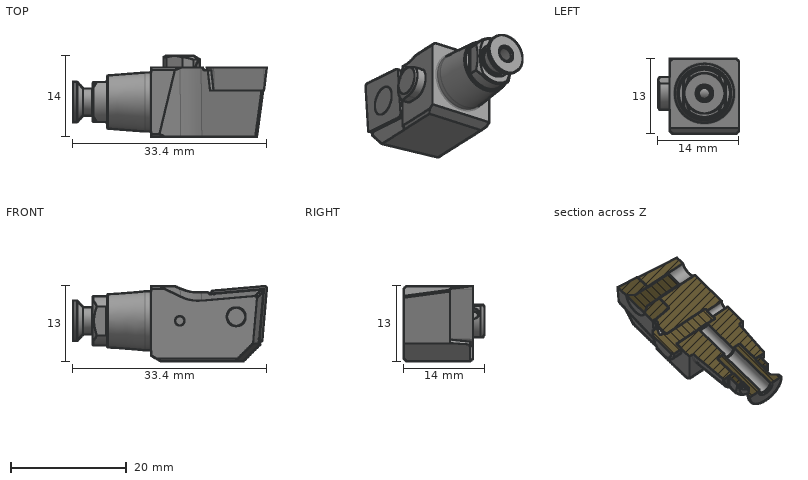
import cadquery as cq
import math


flange_radius = 3.5
flange_rim = 0.57
flange_blend = 0.17
neck_radius = 2.37
neck_start = 1.7
neck_end = 3.25
stem_radius = 2.47
stud_end = 10.02
stud_bore_radius = 1.2
stud_bore_chamfer = 0.3

nut_start = 3.3
nut_end = 5.8
nut_radius = 4.28
nut_edge = 0.2
flat_offset = 3.47
flat_runout_length = 0.15
flat_runout_rise = 0.25
countersink = 0.47
lead_in_radius = 7.35
lead_in_offset = 4.1
lead_in_slope = 1.2

shank_tip_radius = 4.4
shank_front_radius = 4.6
shank_front_chamfer = 0.2
taper_end = 12.4
shank_radius = 5.1
shank_root_fillet = 0.2
coolant_bore_radius = 0.97

block_start = 13.43
block_width = 12.0
block_height = 13.0
block_half_width = block_width / 2
block_top = block_half_width
block_bottom = block_top - block_height
block_end = 33.4
long_edge_chamfer = 0.5
heel_length = 1.67
heel_height = 1.0

half_nose_angle = math.radians(40)
side_angle = math.radians(45) - half_nose_angle
diagonal_share = math.sqrt(0.5)
relief_angle = math.radians(7)
insert_side = 9.7
insert_thickness = 3.97
nose_radius = 0.5
nose_radius_below = 0.05
half_long_diagonal = insert_side * math.cos(half_nose_angle)
half_short_diagonal = insert_side * math.sin(half_nose_angle)
sharp_tip_reach = nose_radius * (diagonal_share / math.sin(half_nose_angle) - 1)
insert_x = block_end + sharp_tip_reach - half_long_diagonal * diagonal_share
insert_z = block_top + sharp_tip_reach - half_long_diagonal * diagonal_share
seat_y = block_half_width - insert_thickness
seat_relief_width = 1.17

flush_gap = 0.1
relief_drop = block_width * math.tan(relief_angle)
ramp_angle = math.radians(26)
valley_start_x = 18.4
valley_end_x = 22.05
corner_bevel_x = 29.4
corner_bevel_shift = 1.5
tip_edge_bevel = 0.37
step_x = 22.35
step_depth = 0.55

pull_in = 0.1
screw_x = insert_x - pull_in
screw_z = insert_z - pull_in
screw_radius = 1.57
screw_hole_radius = 1.65
screw_head_radius = 2.5
screw_head_height = 1.35
screw_end_y = -2.67

nozzle_x = 18.37
nozzle_height = 2.0
nozzle_back_radius = 2.85
nozzle_front_radius = 3.5
nozzle_crown_radius = 2.37
nozzle_crown_angle = math.radians(31)
nozzle_corner = (0.47, nozzle_back_radius)
nozzle_flat_start_z = 1.75
nozzle_flat_end_x = 2.37
nozzle_stem_radius = 1.35
nozzle_stem_end_y = -2.67
outlet_radius = 1.0
outlet_angle = 22.0
outlet_depth = 1.67
vent_radius = 0.8

margin = 3.35


def turned(points):
    """Revolve an (x, radius) outline about the X axis."""
    return cq.Workplane("XY").polyline(points).close().revolve(360, (0, 0, 0), (1, 0, 0))


def axial_cylinder(radius, start, end):
    return cq.Workplane("YZ", origin=(start, 0, 0)).circle(radius).extrude(end - start)


def cross_cylinder(x, z, radius, y_low, y_high):
    """Cylinder parallel to Y."""
    return cq.Workplane("XZ", origin=(x, y_low, z)).circle(radius).extrude(y_low - y_high)


def leaning_prism(wire, shift_x, shift_z):
    """Sweep an outline from the +Y face to the -Y face while it shifts in X and Z."""
    sweep = cq.Vector(shift_x, -block_width, shift_z)
    return cq.Workplane(cq.Solid.extrudeLinear(wire, [], sweep))


def side_plane():
    """XZ sketch plane on the +Y face of the block."""
    return cq.Workplane("XZ", origin=(0, block_half_width, 0))



def make_pull_stud():
    stud = turned([
        (0, 0),
        (0, flange_radius),
        (flange_rim, flange_radius),
        (flange_rim + flange_blend, flange_radius - flange_blend / 2),
        (neck_start, neck_radius),
        (neck_end, neck_radius),
        (neck_end + stem_radius - neck_radius, stem_radius),
        (stud_end, stem_radius),
        (stud_end, 0),
    ])
    stud = stud.cut(axial_cylinder(stud_bore_radius, 0, stud_end))
    bore_mouth = turned([
        (0, 0),
        (0, stud_bore_radius + stud_bore_chamfer),
        (stud_bore_chamfer, stud_bore_radius),
        (stud_bore_chamfer, 0),
    ])
    return stud.cut(bore_mouth)



def make_lead_in(side):
    """Cone set off the axis, which rounds the front of the nut toward one flat."""
    length = nut_end - nut_start
    outer = lead_in_radius + length / lead_in_slope
    cone = turned([(nut_start, 0), (nut_start, lead_in_radius), (nut_end, outer), (nut_end, 0)])
    return cone.translate((0, -side * lead_in_offset, 0))


def make_flat_cutter(side):
    outline = [
        (nut_start, flat_offset),
        (nut_end - flat_runout_length, flat_offset),
        (nut_end, flat_offset + flat_runout_rise),
        (nut_end, nut_radius + margin),
        (nut_start, nut_radius + margin),
    ]
    points = [(x, side * y) for x, y in outline]
    return cq.Workplane("XY").polyline(points).close().extrude(nut_radius, both=True)


def make_lock_nut():
    nut = turned([
        (nut_start, stem_radius + countersink),
        (nut_start, nut_radius - nut_edge),
        (nut_start + nut_edge, nut_radius),
        (nut_end, nut_radius),
        (nut_end, stem_radius),
        (nut_start + countersink, stem_radius),
    ])
    for side in (-1, 1):
        nut = nut.intersect(make_lead_in(side))
        nut = nut.cut(make_flat_cutter(side))
    return nut



def rhombus_wire(y, inset, corner_radius):
    """Rounded rhombus around the insert centre, long diagonal toward +X +Z."""
    shrink = 1 - inset / (insert_side * math.sin(2 * half_nose_angle) / 2)
    long_reach = half_long_diagonal * shrink * diagonal_share
    short_reach = half_short_diagonal * shrink * diagonal_share
    corners = [
        (insert_x + long_reach, insert_z + long_reach),
        (insert_x - short_reach, insert_z + short_reach),
        (insert_x - long_reach, insert_z - long_reach),
        (insert_x + short_reach, insert_z - short_reach),
    ]
    wire = cq.Workplane("XZ", origin=(0, y, 0)).polyline(corners).close().val()
    return wire.fillet2D(corner_radius, wire.Vertices())


def make_insert_blank():
    inset = insert_thickness * math.tan(relief_angle)
    top = rhombus_wire(block_half_width, 0, nose_radius)
    bottom = rhombus_wire(seat_y, inset, nose_radius_below)
    return cq.Workplane(cq.Solid.makeLoft([top, bottom], True))


def make_insert_screw():
    head_start = block_half_width - screw_head_height
    shaft = cross_cylinder(screw_x, screw_z, screw_radius, screw_end_y, block_half_width)
    head = cq.Workplane(cq.Solid.makeCone(
        screw_radius, screw_head_radius, screw_head_height,
        cq.Vector(screw_x, head_start, screw_z), cq.Vector(0, 1, 0),
    ))
    return shaft.union(head)



def make_nozzle_stem():
    return cross_cylinder(nozzle_x, 0, nozzle_stem_radius, nozzle_stem_end_y, block_half_width)


def make_nozzle():
    flat_start_x = -math.sqrt(nozzle_back_radius**2 - nozzle_flat_start_z**2)
    flat_end_z = math.sqrt(nozzle_front_radius**2 - nozzle_flat_end_x**2)
    base_front_x = math.sqrt(nozzle_front_radius**2 - nozzle_back_radius**2)
    head = (
        cq.Workplane("XZ", origin=(nozzle_x, block_half_width, 0))
        .moveTo(0, -nozzle_back_radius)
        .threePointArc((-nozzle_back_radius, 0), (flat_start_x, nozzle_flat_start_z))
        .lineTo(*nozzle_corner)
        .lineTo(nozzle_flat_end_x, flat_end_z)
        .threePointArc((nozzle_front_radius, 0), (base_front_x, -nozzle_back_radius))
        .close()
        .extrude(-nozzle_height)
    )
    crown_drop = (nozzle_front_radius - nozzle_crown_radius) * math.tan(nozzle_crown_angle)
    crown = (
        cq.Workplane("XY", origin=(nozzle_x, block_half_width, 0))
        .polyline([
            (0, 0),
            (nozzle_front_radius, 0),
            (nozzle_front_radius, nozzle_height - crown_drop),
            (nozzle_crown_radius, nozzle_height),
            (0, nozzle_height),
        ])
        .close()
        .revolve(360, (0, 0, 0), (0, 1, 0))
    )
    outlet = (
        axial_cylinder(outlet_radius, nozzle_front_radius - outlet_depth, nozzle_front_radius + margin)
        .rotate((0, 0, 0), (0, 1, 0), -outlet_angle)
        .translate((nozzle_x, block_half_width, 0))
    )
    return head.intersect(crown).cut(outlet).union(make_nozzle_stem())



def make_shank():
    fillet_start = block_start - shank_root_fillet
    bend = shank_root_fillet * (1 - diagonal_share)
    return (
        cq.Workplane("XY")
        .moveTo(nut_end, 0)
        .lineTo(nut_end, shank_tip_radius)
        .lineTo(nut_end + shank_front_chamfer, shank_front_radius)
        .lineTo(taper_end, shank_radius)
        .lineTo(fillet_start, shank_radius)
        .threePointArc(
            (block_start - bend, shank_radius + bend),
            (block_start, shank_radius + shank_root_fillet),
        )
        .lineTo(block_start, 0)
        .close()
        .revolve(360, (0, 0, 0), (1, 0, 0))
    )


def make_block_blank():
    length = block_end - block_start
    blank = (
        cq.Workplane("XY", origin=(block_start, 0, block_bottom))
        .box(length, block_width, block_top - block_bottom, centered=(False, True, False))
        .edges("|X")
        .chamfer(long_edge_chamfer)
    )
    heel = (
        side_plane()
        .polyline([
            (block_start, block_bottom),
            (block_start, block_bottom + heel_height),
            (block_start + heel_length, block_bottom),
        ])
        .close()
        .extrude(block_width)
    )
    return blank.cut(heel)


insert_tip_x = insert_x + half_long_diagonal * diagonal_share
insert_tip_z = insert_z + half_long_diagonal * diagonal_share
set_back = flush_gap / (math.cos(side_angle) - math.sin(side_angle))
tip_x = insert_tip_x - set_back
tip_z = insert_tip_z - set_back


def top_plane_z(x):
    return tip_z - (tip_x - x) * math.tan(side_angle)


def make_top_relief():
    """Ramp, hollow and rake plane above the block, leaning down toward -Y."""
    turn = ramp_angle + side_angle
    chord_pitch = (ramp_angle - side_angle) / 2
    chord = (valley_end_x - valley_start_x) / math.cos(chord_pitch)
    valley_radius = chord / (2 * math.sin(turn / 2))
    end_z = top_plane_z(valley_end_x)
    start_z = end_z + chord * math.sin(chord_pitch)
    centre_x = valley_end_x - valley_radius * math.sin(side_angle)
    centre_z = end_z + valley_radius * math.cos(side_angle)
    mid = (
        centre_x - valley_radius * math.sin(chord_pitch),
        centre_z - valley_radius * math.cos(chord_pitch),
    )
    ceiling = block_top + margin
    ramp_top_x = valley_start_x - (ceiling - start_z) / math.tan(ramp_angle)
    far_x = block_end + margin
    wire = (
        side_plane()
        .moveTo(ramp_top_x, ceiling)
        .lineTo(valley_start_x, start_z)
        .threePointArc(mid, (valley_end_x, end_z))
        .lineTo(far_x, top_plane_z(far_x))
        .lineTo(far_x, ceiling)
        .close()
        .val()
    )
    return leaning_prism(wire, relief_drop * math.sin(side_angle), -relief_drop * math.cos(side_angle))


def make_front_relief():
    """Clearance plane at the +X end, leaning back toward -Y."""
    low_z = block_bottom - margin
    high_z = block_top + margin
    far_x = block_end + margin
    wire = (
        side_plane()
        .polyline([
            (tip_x - (tip_z - low_z) * math.tan(side_angle), low_z),
            (tip_x + (high_z - tip_z) * math.tan(side_angle), high_z),
            (far_x, high_z),
            (far_x, low_z),
        ])
        .close()
        .val()
    )
    return leaning_prism(wire, -relief_drop * math.cos(side_angle), relief_drop * math.sin(side_angle))


def make_corner_relief():
    """45 degree plane across the lower +X corner."""
    reach = 2 * margin
    wire = (
        side_plane()
        .polyline([
            (corner_bevel_x - margin, block_bottom - margin),
            (corner_bevel_x + reach, block_bottom + reach),
            (corner_bevel_x + reach, block_bottom - margin),
        ])
        .close()
        .val()
    )
    return leaning_prism(wire, -corner_bevel_shift, 0)


def make_tip_bevel():
    """Narrow bevel along the edge between the rake and clearance planes."""
    shift = relief_drop / (math.cos(side_angle) - math.sin(side_angle))
    wire = (
        side_plane()
        .polyline([
            (tip_x - tip_edge_bevel - margin, tip_z + margin),
            (tip_x - tip_edge_bevel + margin, tip_z - margin),
            (tip_x + margin, tip_z + margin),
        ])
        .close()
        .val()
    )
    return leaning_prism(wire, -shift, -shift)


def make_face_step():
    """Shallow step in the +Y face, with a concave round at its start."""
    floor_y = block_half_width - step_depth
    bend = step_depth * diagonal_share
    return (
        cq.Workplane("XY", origin=(0, 0, block_bottom))
        .moveTo(step_x, block_half_width)
        .threePointArc(
            (step_x + step_depth - bend, block_half_width - bend),
            (step_x + step_depth, floor_y),
        )
        .lineTo(block_end, floor_y)
        .lineTo(block_end, block_half_width)
        .close()
        .extrude(block_top - block_bottom)
    )


def make_seat_relief():
    """Slot along the short diagonal that clears the two blunt corners of the insert."""
    length = 2 * half_short_diagonal + margin
    return (
        cq.Workplane("XZ", origin=(insert_x, block_half_width, insert_z))
        .rect(length, seat_relief_width)
        .extrude(insert_thickness)
        .rotate((insert_x, 0, insert_z), (insert_x, 1, insert_z), 45)
    )


def make_holder(insert_blank):
    block = make_block_blank()
    block = block.cut(make_top_relief())
    block = block.cut(make_front_relief())
    block = block.cut(make_corner_relief())
    block = block.cut(make_tip_bevel())
    block = block.cut(make_face_step())
    block = block.cut(insert_blank)
    block = block.cut(make_seat_relief())

    holder = block.union(make_shank())
    holder = holder.cut(axial_cylinder(stem_radius, nut_end, stud_end))
    holder = holder.cut(axial_cylinder(coolant_bore_radius, stud_end, nozzle_x))
    holder = holder.cut(make_nozzle_stem())
    holder = holder.cut(cross_cylinder(nozzle_x, 0, vent_radius, -block_half_width, 0))
    return holder.cut(cross_cylinder(screw_x, screw_z, screw_hole_radius, -block_half_width, seat_y))


pull_stud = make_pull_stud()
lock_nut = make_lock_nut()
nozzle = make_nozzle()
insert_blank = make_insert_blank()
insert_screw = make_insert_screw()
holder = make_holder(insert_blank)
insert = insert_blank.cut(insert_screw)

result = cq.Compound.makeCompound([
    holder.solids().val(),
    pull_stud.solids().val(),
    lock_nut.solids().val(),
    nozzle.solids().val(),
    insert.solids().val(),
    insert_screw.solids().val(),
])